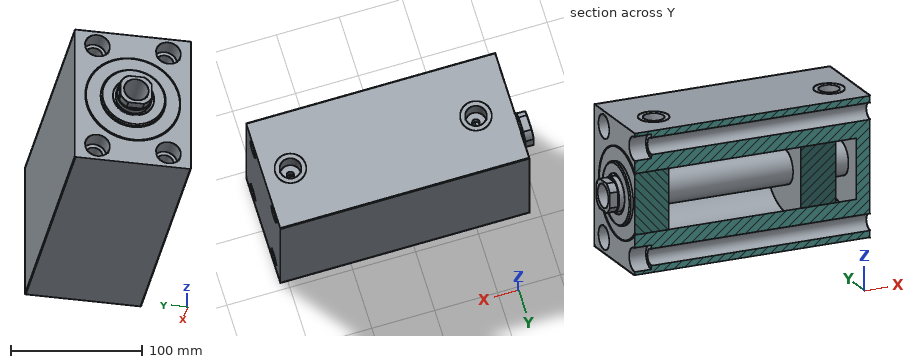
import cadquery as cq
import math

block_length = 198.0
block_width = 90.0
block_height = 115.0
edge_chamfer = 0.6

bore_diameter = 73.8
bore_depth = 186.1

mount_spacing_y = 55.0
mount_spacing_z = 89.9
mount_diameter = 13.3
mount_counterbore_diameter = 19.2
mount_counterbore_depth = 14.0

front_port_x = 29.0
rear_port_x = 176.4
port_diameter = 16.5
port_depth = 14.8
port_spotface_diameter = 24.1
port_spotface_depth = 0.2
port_drill_diameter = 6.0

gland_length = front_port_x
gland_edge_chamfer = 0.6
collar_diameter = 50.3
collar_height = 3.0
collar_chamfer = 1.0
wiper_recess_diameter = 32.0
wiper_recess_depth = 1.0

rod_diameter = 27.7
rod_chamfer = 0.5
rod_tip_x = -13.5
wrench_length = 6.8
wrench_across_flats = 24.0
wrench_diameter = rod_diameter - 2 * rod_chamfer
rod_shoulder_x = rod_tip_x + wrench_length
rod_hole_diameter = 19.0
rod_hole_depth = 29.6
drill_point_angle = 118.0
piston_length = 29.6
piston_rear_x = 169.2


def x_cylinder(diameter, start, end):
    """Solid cylinder on the X axis between two X positions."""
    return cq.Workplane("YZ", origin=(start, 0, 0)).circle(diameter / 2).extrude(end - start)


def drill_down(x, diameter, depth):
    """Cutter for a vertical hole sunk into the top face."""
    top = cq.Workplane("XY", origin=(x, 0, block_height / 2))
    return top.circle(diameter / 2).extrude(-depth)


def make_port(x):
    """Cutter for one port: spotface, port hole, and a drill that opens into the bore."""
    spotface = drill_down(x, port_spotface_diameter, port_spotface_depth)
    port_hole = drill_down(x, port_diameter, port_depth)
    passage = drill_down(x, port_drill_diameter, block_height / 2)
    return spotface.union(port_hole).union(passage)


def make_mounting_holes():
    """Cutter for the four counterbored mounting holes."""
    points = cq.Workplane("YZ").rect(mount_spacing_y, mount_spacing_z, forConstruction=True).vertices()
    through_holes = points.circle(mount_diameter / 2).extrude(block_length)
    counterbores = points.circle(mount_counterbore_diameter / 2).extrude(mount_counterbore_depth)
    return through_holes.union(counterbores)


def make_housing():
    block = cq.Workplane("XY").box(block_length, block_width, block_height, centered=(False, True, True))
    block = block.edges("|X").chamfer(edge_chamfer)
    block = block.cut(x_cylinder(bore_diameter, 0, bore_depth))
    block = block.cut(make_mounting_holes())
    for port_x in (front_port_x, rear_port_x):
        block = block.cut(make_port(port_x))
    return block


def make_gland():
    plug = x_cylinder(bore_diameter, 0, gland_length).faces("<X").edges().chamfer(gland_edge_chamfer)
    collar = x_cylinder(collar_diameter, -collar_height, 0).faces("<X").edges().chamfer(collar_chamfer)
    gland = plug.union(collar)
    gland = gland.cut(x_cylinder(rod_diameter, -collar_height, gland_length))
    recess_floor_x = wiper_recess_depth - collar_height
    return gland.cut(x_cylinder(wiper_recess_diameter, -collar_height, recess_floor_x))


def make_wrench_end():
    """Rod tip with four flats and rounded corners."""
    round_end = x_cylinder(wrench_diameter, rod_tip_x, rod_shoulder_x)
    square = cq.Workplane("YZ", origin=(rod_tip_x, 0, 0)).rect(wrench_across_flats, wrench_across_flats)
    return round_end.intersect(square.extrude(wrench_length))


def make_rod_hole():
    """Cutter for the blind hole in the rod tip, ending in a drill point."""
    radius = rod_hole_diameter / 2
    point_length = radius / math.tan(math.radians(drill_point_angle / 2))
    floor_x = rod_tip_x + rod_hole_depth
    profile = (
        cq.Workplane("XY")
        .moveTo(rod_tip_x, 0)
        .lineTo(rod_tip_x, radius)
        .lineTo(floor_x, radius)
        .lineTo(floor_x + point_length, 0)
        .close()
    )
    return profile.revolve(360, (0, 0, 0), (1, 0, 0))


def make_piston_rod():
    shaft = x_cylinder(rod_diameter, rod_shoulder_x, bore_depth).faces("<X").edges().chamfer(rod_chamfer)
    piston = x_cylinder(bore_diameter, piston_rear_x - piston_length, piston_rear_x)
    return shaft.union(piston).union(make_wrench_end()).cut(make_rod_hole())


housing = make_housing()
gland = make_gland()
piston_rod = make_piston_rod()
result = cq.Compound.makeCompound([housing.val(), gland.val(), piston_rod.val()])